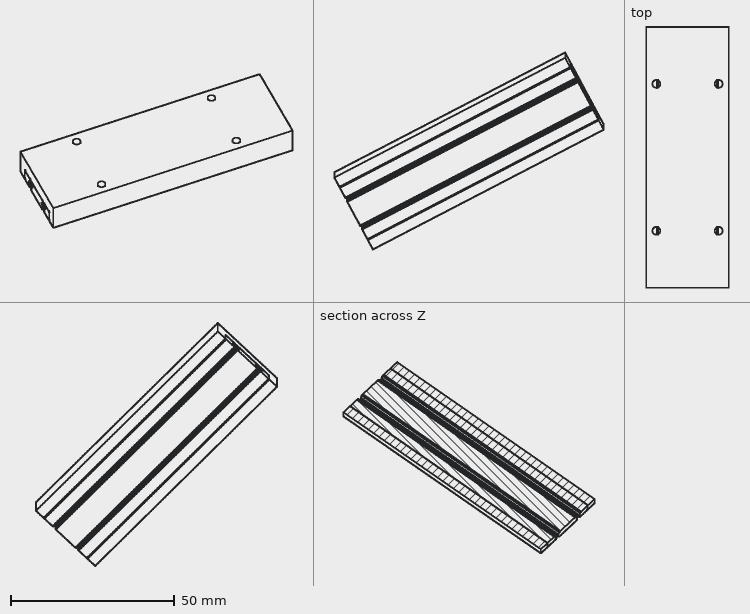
import cadquery as cq

width = 25.4
length = 80.0
total_height = 9.4
bottom_overhang = 0.25

carriage_height = total_height - bottom_overhang
channel_width = 18.7
roof_thickness = 5.05
channel_roof_z = total_height - roof_thickness

hole_diameter = 2.4
hole_pitch_x = 19.1
hole_pitch_y = 45.05

centre_rail_width = 9.0
running_gap = 0.8
side_rail_inner_x = centre_rail_width / 2 + running_gap
rail_chamfer = 0.3
centre_rail_roof_gap = 0.1

groove_z = (channel_roof_z + bottom_overhang) / 2
groove_depth = 0.5
groove_half_height = 0.7
relief_depth = 1.0
relief_half_height = 0.2


def back_plane():
    """XZ sketch plane at the back end, with its normal toward the front."""
    return cq.Workplane("XZ", origin=(0, length / 2, 0))


def make_carriage():
    block = (
        back_plane()
        .center(0, bottom_overhang + carriage_height / 2)
        .rect(width, carriage_height)
        .extrude(length)
    )
    channel_depth = channel_roof_z - bottom_overhang
    channel = (
        back_plane()
        .center(0, bottom_overhang + channel_depth / 2)
        .rect(channel_width, channel_depth)
        .extrude(length)
    )
    holes = (
        cq.Workplane("XY", origin=(0, 0, channel_roof_z))
        .rect(hole_pitch_x, hole_pitch_y, forConstruction=True)
        .vertices()
        .circle(hole_diameter / 2)
        .extrude(roof_thickness)
    )
    return block.cut(channel).cut(holes)


def make_groove(face_x, inward):
    """Cutter for one vee groove in a rail face at face_x; inward is +1 or -1 along X, into the rail."""
    root_x = face_x + inward * groove_depth
    relief_x = face_x + inward * relief_depth
    return (
        back_plane()
        .moveTo(face_x, groove_z - groove_half_height)
        .lineTo(root_x, groove_z - relief_half_height)
        .lineTo(relief_x, groove_z - relief_half_height)
        .lineTo(relief_x, groove_z + relief_half_height)
        .lineTo(root_x, groove_z + relief_half_height)
        .lineTo(face_x, groove_z + groove_half_height)
        .close()
        .extrude(length)
    )


def make_rail_bar(left_x, right_x, bottom_z, top_z):
    """Plain bar with its four long edges chamfered."""
    return (
        back_plane()
        .center((left_x + right_x) / 2, (bottom_z + top_z) / 2)
        .rect(right_x - left_x, top_z - bottom_z)
        .extrude(length)
        .edges("|Y")
        .chamfer(rail_chamfer)
    )


def make_centre_rail():
    half_width = centre_rail_width / 2
    rail = make_rail_bar(-half_width, half_width, 0, channel_roof_z - centre_rail_roof_gap)
    for side in (-1, 1):
        rail = rail.cut(make_groove(side * half_width, -side))
    return rail


def make_side_rail(side):
    """Side rail on the -X (side = -1) or +X (side = +1) wall of the channel."""
    inner_x = side * side_rail_inner_x
    outer_x = side * channel_width / 2
    left_x = min(inner_x, outer_x)
    right_x = max(inner_x, outer_x)
    rail = make_rail_bar(left_x, right_x, bottom_overhang, channel_roof_z)
    return rail.cut(make_groove(inner_x, side))


carriage = make_carriage()
centre_rail = make_centre_rail()
side_rails = [make_side_rail(side) for side in (-1, 1)]

result = cq.Compound.makeCompound(
    [carriage.val(), centre_rail.val(), *[rail.val() for rail in side_rails]]
)